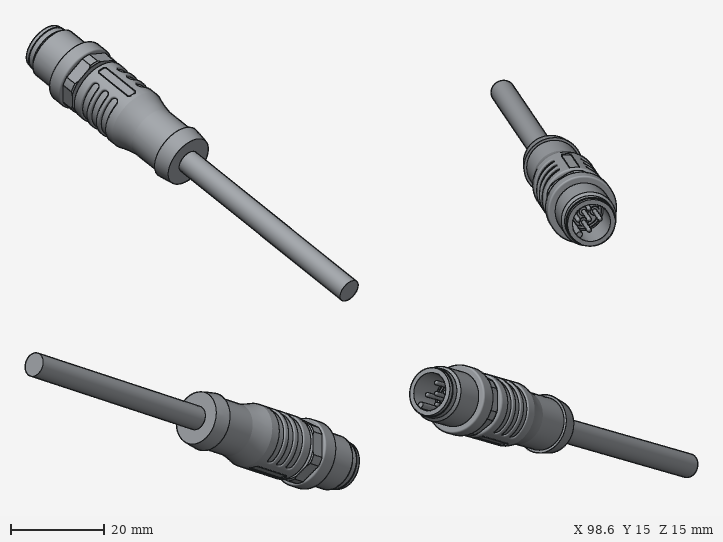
import cadquery as cq
import math

length = 98.6
cable_diameter = 5.2

nose_diameter = 10.5
nose_end = 1.0
seal_seat_diameter = 10.8
seal_seat_end = 2.4
sleeve_diameter = 12.0
sleeve_start = 3.1
collar_diameter = 15.0
collar_start = 9.9
collar_end = 13.4
collar_round = 0.4
nut_end = 16.4
nut_sides = 6
nut_across_flats = 13.0
nut_corner_diameter = 14.0
nut_chamfer = 0.3
neck_diameter = 8.7
neck_shoulder_diameter = 9.1
neck_shoulder_length = 0.4

grip_diameter = 14.0
grip_start = 17.3
grip_round = 0.5
grip_end = 29.9
relief_diameter = 11.5
taper_end = 34.8
taper_middle_diameter = 12.5
flare_diameter = 12.7
flare_middle_diameter = 12.2
flare_start = 42.8
flare_end = 46.5

groove_width = 1.8
groove_mouth_round = 0.3
groove_depth = 0.5
groove_count = 3
first_groove = 20.6
last_groove = 26.6
groove_pitch = (last_groove - first_groove) / (groove_count - 1)
groove_edge_angle = 63.6
pocket_start = 18.4
pocket_length = 10.2
pocket_width = 2.2
pocket_corner = 0.5
pocket_floor = 6.7

bore_diameter = 8.3
ledge_depth = 8.3
ledge_bore = 7.6
inner_ledge_depth = 8.6
inner_ledge_bore = 6.6
bore_depth = 8.9
pin_diameter = 1.0
pin_recess = 2.2
pin_circle_radius = 2.4
outer_pin_count = 4
pin_collar_diameter = 2.0
pin_collar_height = 0.3
key_width = 1.2
key_inner_radius = 3.0
key_recess = 0.3
key_angle = 315.0

overlap = 0.3
surface_tolerance = 0.01


def rod(start, end, diameter):
    """Solid cylinder on the X axis between two stations."""
    return cq.Workplane("YZ", origin=(start, 0, 0)).circle(diameter / 2).extrude(end - start)


def make_sleeve():
    """Sleeve turned about X, stepping up from the nose to its full diameter."""
    profile = (
        cq.Workplane("XY")
        .moveTo(0, 0)
        .lineTo(0, nose_diameter / 2)
        .lineTo(nose_end, nose_diameter / 2)
        .lineTo(nose_end, seal_seat_diameter / 2)
        .lineTo(seal_seat_end, seal_seat_diameter / 2)
        .lineTo(sleeve_start, sleeve_diameter / 2)
        .lineTo(collar_start, sleeve_diameter / 2)
        .lineTo(collar_start, 0)
        .close()
    )
    return profile.revolve(360, (0, 0, 0), (1, 0, 0))


def make_nut():
    """Round collar and a hexagon, one corner upwards, with its corners turned down."""
    collar = rod(collar_start, collar_end, collar_diameter).edges().fillet(collar_round)
    across_corners = nut_across_flats / math.cos(math.pi / nut_sides)
    hexagon = (
        cq.Workplane("YZ", origin=(collar_end, 0, 0))
        .transformed(rotate=(0, 0, 90))
        .polygon(nut_sides, across_corners)
        .extrude(nut_end - collar_end)
    )
    blank = rod(collar_end, nut_end, nut_corner_diameter).faces(">X").edges().chamfer(nut_chamfer)
    return collar.union(hexagon.intersect(blank))


def make_body():
    """Grip, taper, strain relief and flared end, turned about X."""
    grip_radius = grip_diameter / 2
    relief_radius = relief_diameter / 2
    flare_radius = flare_diameter / 2
    taper_middle = ((grip_end + taper_end) / 2, taper_middle_diameter / 2)
    flare_middle = ((flare_start + flare_end) / 2, flare_middle_diameter / 2)
    profile = (
        cq.Workplane("XY")
        .moveTo(grip_start, 0)
        .lineTo(grip_start, grip_radius - grip_round)
        .radiusArc((grip_start + grip_round, grip_radius), grip_round)
        .lineTo(grip_end, grip_radius)
        .threePointArc(taper_middle, (taper_end, relief_radius))
        .lineTo(flare_start, relief_radius)
        .lineTo(flare_start, flare_radius)
        .threePointArc(flare_middle, (flare_end, relief_radius))
        .lineTo(flare_end, 0)
        .close()
    )
    return profile.revolve(360, (0, 0, 0), (1, 0, 0))


def make_groove(center, side_angle):
    """Round-ended groove wrapped around one side of the grip."""
    floor_radius = grip_diameter / 2 - groove_depth
    outer_radius = grip_diameter / 2 + overlap
    round_angle = math.degrees(groove_width / grip_diameter)
    end_angle = groove_edge_angle - round_angle
    band = (
        cq.Workplane("XY")
        .moveTo(center - groove_width / 2, floor_radius)
        .rect(groove_width, outer_radius - floor_radius, centered=False)
        .revolve(2 * end_angle, (0, 0, 0), (1, 0, 0))
        .rotate((0, 0, 0), (1, 0, 0), -end_angle)
    )
    shell_start = center - groove_width
    shell_end = center + groove_width
    shell = rod(shell_start, shell_end, 2 * outer_radius).cut(rod(shell_start, shell_end, 2 * floor_radius))
    for angle in (-end_angle, end_angle):
        post = (
            cq.Workplane("XZ", origin=(center, 0, 0))
            .circle(groove_width / 2)
            .extrude(-2 * outer_radius)
            .rotate((0, 0, 0), (1, 0, 0), angle)
        )
        band = band.union(post.intersect(shell))
    return band.rotate((0, 0, 0), (1, 0, 0), side_angle)


def is_groove_mouth(edge):
    """True for the curved edges where the grooves break through the grip's surface."""
    point = edge.positionAt(0.5)
    on_surface = abs(math.hypot(point.y, point.z) - grip_diameter / 2) < surface_tolerance
    inside_grip = grip_start + 2 * grip_round < point.x < grip_end - grip_round
    return on_surface and inside_grip and edge.geomType() != "LINE"


def make_pocket():
    """Flat-floored cutter for the marking pocket on top of the grip."""
    return (
        cq.Workplane("XY", origin=(pocket_start + pocket_length / 2, 0, pocket_floor))
        .rect(pocket_length, pocket_width)
        .extrude(grip_diameter / 2)
        .edges("|Z")
        .fillet(pocket_corner)
    )


def make_grooved_body():
    """Body with finger grooves on both sides and marking pockets above and below."""
    body = make_body()
    for index in range(groove_count):
        for side_angle in (0, 180):
            body = body.cut(make_groove(first_groove + index * groove_pitch, side_angle))
    body = body.edges().filter(is_groove_mouth).fillet(groove_mouth_round)
    pocket = make_pocket()
    return body.cut(pocket).cut(pocket.rotate((0, 0, 0), (1, 0, 0), 180))


def make_chamber():
    """Contact chamber narrowing in two low ledges towards its floor."""
    chamber = rod(0, ledge_depth, bore_diameter)
    chamber = chamber.union(rod(0, inner_ledge_depth, ledge_bore))
    return chamber.union(rod(0, bore_depth, inner_ledge_bore))


def make_pin(y, z):
    """Dome-tipped contact standing on a low round collar on the chamber floor."""
    tip_radius = pin_diameter / 2
    tip_center = pin_recess + tip_radius
    dome = cq.Workplane("XY").sphere(tip_radius).translate((tip_center, 0, 0))
    pin = rod(tip_center, bore_depth + overlap, pin_diameter).union(dome)
    collar = rod(bore_depth - pin_collar_height, bore_depth + overlap, pin_collar_diameter)
    return pin.union(collar).translate((0, y, z))


def make_key():
    """Round-nosed polarising rib on the wall of the contact chamber."""
    nose_center = key_inner_radius + key_width / 2
    wall = bore_diameter / 2 + overlap
    rib_length = bore_depth + overlap - key_recess
    start = cq.Workplane("YZ", origin=(key_recess, 0, 0))
    nose = start.center(nose_center, 0).circle(key_width / 2).extrude(rib_length)
    web = start.center((nose_center + wall) / 2, 0).rect(wall - nose_center, key_width).extrude(rib_length)
    return nose.union(web).rotate((0, 0, 0), (1, 0, 0), key_angle)


neck = rod(nut_end - overlap, grip_start + overlap, neck_diameter)
neck_shoulder = rod(grip_start - neck_shoulder_length, grip_start + overlap, neck_shoulder_diameter)
cable = rod(flare_end - overlap, length, cable_diameter)
result = make_sleeve().union(make_nut()).union(neck).union(neck_shoulder)
result = result.union(make_grooved_body()).union(cable)

result = result.cut(make_chamber()).union(make_key()).union(make_pin(0, 0))
for index in range(outer_pin_count):
    angle = 2 * math.pi * index / outer_pin_count
    result = result.union(make_pin(pin_circle_radius * math.cos(angle), pin_circle_radius * math.sin(angle)))